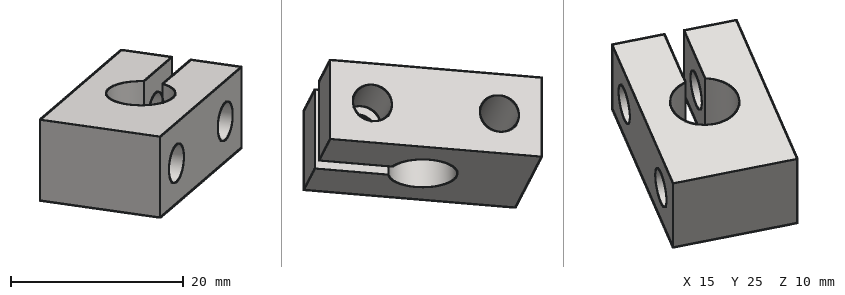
import cadquery as cq

width = 15.0
length = 25.0
height = 10.0

bore_diameter = 8.0
slot_width = 2.35

cross_hole_diameter = 4.6
cross_hole_end_distance = 5.0
cross_hole_offset = length / 2 - cross_hole_end_distance

block = cq.Workplane("XY").box(width, length, height)

bore = cq.Workplane("XY").circle(bore_diameter / 2).extrude(height / 2, both=True)

slot = cq.Workplane("XY").box(slot_width, length / 2, height).translate((0, length / 4, 0))

cross_holes = (
    cq.Workplane("YZ")
    .pushPoints([(-cross_hole_offset, 0), (cross_hole_offset, 0)])
    .circle(cross_hole_diameter / 2)
    .extrude(width / 2, both=True)
)

result = block.cut(bore).cut(slot).cut(cross_holes)